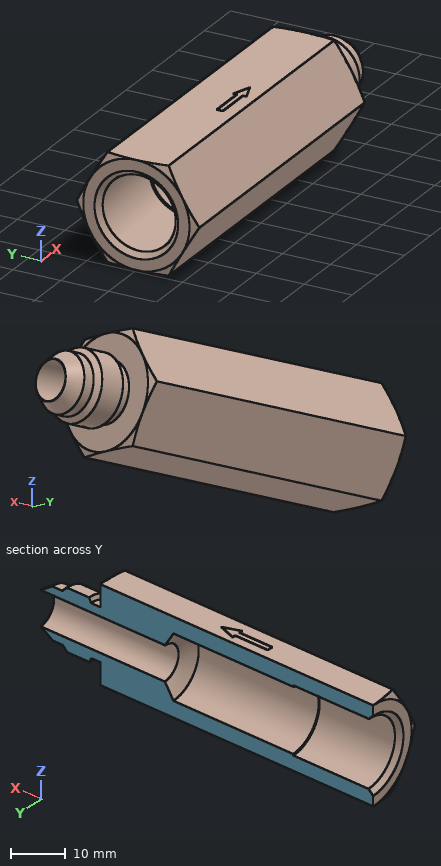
import cadquery as cq
import math

total_length = 78.75
body_length = 64.65
across_corners = 25.7
across_flats = across_corners * math.cos(math.radians(30))
corner_chamfer_diameter = across_flats
corner_chamfer_angle = 20.0
envelope_diameter = across_corners + 1.6

neck_diameter = 12.2
collar_diameter = 14.25
nose_diameter = 12.0
tip_diameter = 8.0
neck_end = 66.7
collar_start = 67.2
collar_end = 72.45
nose_start = 73.55
cone_start = 75.9

mouth_diameter = 17.5
mouth_depth = 1.1
port_diameter = 15.3
port_depth = 18.9
inner_diameter = 14.65
inner_depth = 47.25
through_diameter = 7.9
drill_point_angle = 118.0

arrow_start = 26.8
arrow_head_start = 34.5
arrow_tip = 38.3
arrow_center_y = -2.8
arrow_shaft_width = 1.25
arrow_head_width = 2.7
arrow_depth = 0.1


def revolve_about_x(stations):
    """Solid of revolution about X through (position, diameter) stations."""
    start, end = stations[0][0], stations[-1][0]
    outline = [(x, diameter / 2) for x, diameter in stations]
    outline = [(start, 0)] + outline + [(end, 0)]
    return cq.Workplane("XY").polyline(outline).close().revolve(360, (0, 0, 0), (1, 0, 0))


def hex_body():
    """Hexagonal bar with flats on top and bottom and its end corners turned off."""
    bar = cq.Workplane("YZ").polygon(6, across_corners).extrude(body_length)
    turned_height = (envelope_diameter - corner_chamfer_diameter) / 2
    turned_length = turned_height * math.tan(math.radians(corner_chamfer_angle))
    envelope = revolve_about_x([
        (0, corner_chamfer_diameter),
        (turned_length, envelope_diameter),
        (body_length - turned_length, envelope_diameter),
        (body_length, corner_chamfer_diameter),
    ])
    return bar.intersect(envelope)


def male_end():
    """Neck, collar and coned nose, standing on the end of the body."""
    return revolve_about_x([
        (body_length, neck_diameter),
        (neck_end, neck_diameter),
        (collar_start, collar_diameter),
        (collar_end, collar_diameter),
        (nose_start, nose_diameter),
        (cone_start, nose_diameter),
        (total_length, tip_diameter),
    ])


def bore():
    """Chamfered port, slightly narrower inner bore with a drill point, and through passage."""
    point_length = (inner_diameter - through_diameter) / 2 / math.tan(math.radians(drill_point_angle / 2))
    return revolve_about_x([
        (0, mouth_diameter),
        (mouth_depth, port_diameter),
        (port_depth, port_diameter),
        (port_depth, inner_diameter),
        (inner_depth, inner_diameter),
        (inner_depth + point_length, through_diameter),
        (total_length, through_diameter),
    ])


def flow_arrow():
    """Shallow arrow-shaped cutter reaching down from the top flat."""
    half_shaft = arrow_shaft_width / 2
    half_head = arrow_head_width / 2
    floor = cq.Workplane("XY", origin=(0, arrow_center_y, across_flats / 2 - arrow_depth))
    outline = floor.polyline([
        (arrow_start, -half_shaft),
        (arrow_head_start, -half_shaft),
        (arrow_head_start, -half_head),
        (arrow_tip, 0),
        (arrow_head_start, half_head),
        (arrow_head_start, half_shaft),
        (arrow_start, half_shaft),
    ])
    return outline.close().extrude(2 * arrow_depth)


result = hex_body().union(male_end()).cut(bore()).cut(flow_arrow())